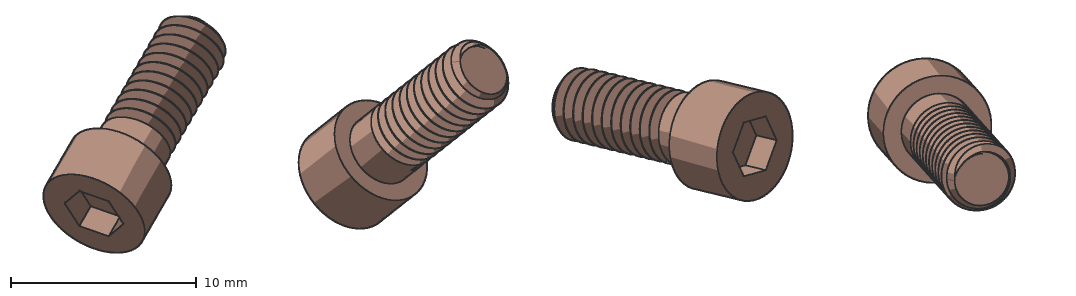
import cadquery as cq
import math

HEAD_DIAMETER = 6.0
HEAD_HEIGHT = 3.5
SHANK_DIAMETER = 4.0
SHANK_LENGTH = 10.0
TIP_CHAMFER = 0.5

SOCKET_SIDES = 6
SOCKET_ACROSS_FLATS = 3.0
SOCKET_DEPTH = 1.5

PITCH = 0.7
THREAD_DEPTH = 0.613
CREST_FLAT = 0.045
ROOT_FLAT = 0.045
GROOVE_START = 1.92
GROOVE_START_ANGLE = 243.0
CUT_OVERRUN = 0.02

SHANK_RADIUS = SHANK_DIAMETER / 2


def make_head():
    """Plain cylinder from the outer face at -Y to its underside at Y = 0."""
    return cq.Workplane("XZ").circle(HEAD_DIAMETER / 2).extrude(HEAD_HEIGHT)


def make_shank():
    """Cylinder along +Y with a chamfered tip."""
    shank = cq.Workplane("XZ").circle(SHANK_RADIUS).extrude(-SHANK_LENGTH)
    return shank.faces(">Y").chamfer(TIP_CHAMFER)


def make_socket():
    """Hexagonal prism with flats facing +Z and -Z, sunk into the outer face of the head."""
    across_corners = SOCKET_ACROSS_FLATS / math.cos(math.pi / SOCKET_SIDES)
    outer_face = cq.Workplane("XZ", origin=(0, -HEAD_HEIGHT, 0))
    return outer_face.polygon(SOCKET_SIDES, across_corners).extrude(-SOCKET_DEPTH)


def make_thread_groove():
    """Right-handed helical cutter that runs from its start face out through the tip."""
    root_radius = SHANK_RADIUS - THREAD_DEPTH
    outer_radius = SHANK_RADIUS + CUT_OVERRUN
    half_root = ROOT_FLAT / 2
    half_crest_gap = (PITCH - CREST_FLAT) / 2
    flank_slope = (half_crest_gap - half_root) / THREAD_DEPTH
    half_mouth = half_root + flank_slope * (outer_radius - root_radius)
    profile = cq.Workplane("XZ").polyline([
        (root_radius, -half_root),
        (outer_radius, -half_mouth),
        (outer_radius, half_mouth),
        (root_radius, half_root),
    ]).close()
    groove_length = SHANK_LENGTH - GROOVE_START + PITCH
    helix = cq.Workplane(cq.Wire.makeHelix(PITCH, groove_length, SHANK_RADIUS))
    groove = profile.sweep(helix, isFrenet=True)
    groove = groove.rotate((0, 0, 0), (0, 0, 1), -GROOVE_START_ANGLE)
    groove = groove.rotate((0, 0, 0), (1, 0, 0), -90)
    return groove.translate((0, GROOVE_START, 0))


threaded_shank = make_shank().cut(make_thread_groove())
result = make_head().union(threaded_shank).cut(make_socket())